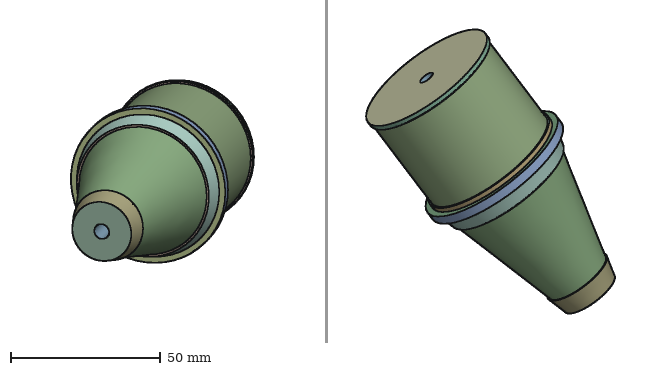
import cadquery as cq

bore_radius = 2.6
tip_radius = 10.3
nose_radius = 12.25
cone_front_radius = 11.8
cone_rear_radius = 22.3
shoulder_front_radius = 23.1
shoulder_rear_radius = 24.9
flange_radius = 27.0
rim_radius = 24.7
barrel_radius = 24.0

total_length = 95.7
nose_end = 7.4
cone_end = 48.2
shoulder_end = 54.3
flange_end = 57.5
rim_width = 1.7
collar_end = flange_end + rim_width
lip_start = total_length - rim_width

half_section = [
    (bore_radius, 0),
    (tip_radius, 0),
    (nose_radius, nose_end),
    (cone_front_radius, nose_end),
    (cone_rear_radius, cone_end),
    (shoulder_front_radius, cone_end),
    (shoulder_rear_radius, shoulder_end),
    (flange_radius, shoulder_end),
    (flange_radius, flange_end),
    (rim_radius, flange_end),
    (rim_radius, collar_end),
    (barrel_radius, collar_end),
    (barrel_radius, lip_start),
    (rim_radius, lip_start),
    (rim_radius, total_length),
    (bore_radius, total_length),
]

result = (
    cq.Workplane("XY")
    .polyline(half_section)
    .close()
    .revolve(360, (0, 0, 0), (0, 1, 0))
)